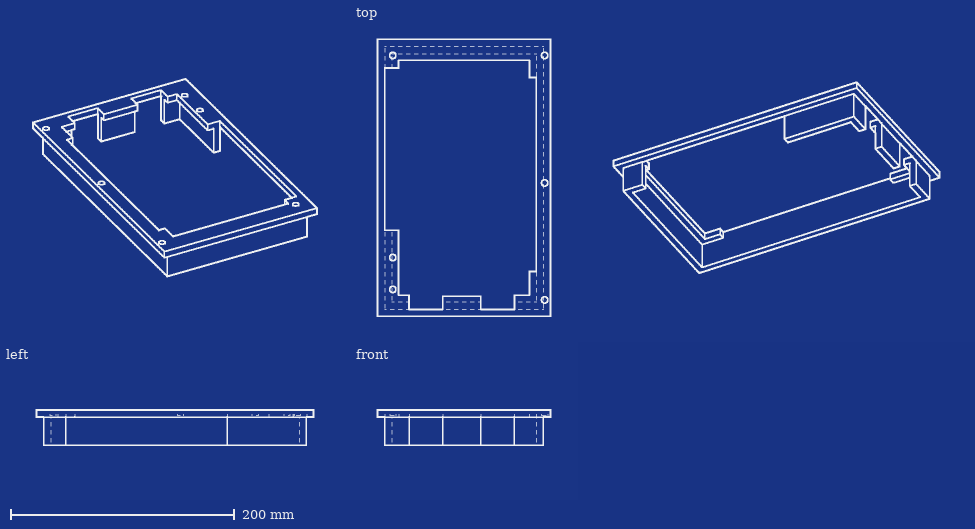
import cadquery as cq

width = 154.8
length = 247.6
height = 31.7
plate_thickness = 6.5

wall_inset = 6.5
wall_thickness = 6.5

window_left = -58.5
window_right = 58.5
window_bottom = -105.0
window_top = 104.8
left_recess_bottom = -46.8
left_recess_top = 97.8
right_recess_bottom = -83.7
right_recess_top = 89.5
left_recess_edge = -70.5
right_recess_edge = width / 2 - wall_inset - wall_thickness

notch_ranges = ((-49.0, -19.0), (15.0, 45.0))
notch_front = -length / 2 + 6.2
tongue_back = -105.7

hole_diameter = 5.7
hole_depth = 5.0
left_hole_x = -63.6
right_hole_x = 72.0
left_hole_ys = (-99.8, -71.3, 109.2)
right_hole_ys = (-109.2, -4.7, 109.2)

wall_height = height - plate_thickness


def block(x_min, x_max, y_min, y_max, z_min, z_max):
    """Box given by its limits along each axis."""
    size = (x_max - x_min, y_max - y_min, z_max - z_min)
    return cq.Workplane("XY").box(*size, centered=False).translate((x_min, y_min, z_min))


def make_plate():
    """Top plate with its stepped opening."""
    plate = block(-width / 2, width / 2, -length / 2, length / 2, wall_height, height)
    openings = (
        (window_left, window_right, window_bottom, window_top),
        (left_recess_edge, 0, left_recess_bottom, left_recess_top),
        (0, right_recess_edge, right_recess_bottom, right_recess_top),
    )
    for limits in openings:
        plate = plate.cut(block(*limits, wall_height, height))
    return plate


def make_wall():
    """Perimeter wall with a gap along the left recess."""
    x_outer = width / 2 - wall_inset
    y_outer = length / 2 - wall_inset
    x_inner = x_outer - wall_thickness
    y_inner = y_outer - wall_thickness
    wall = block(-x_outer, x_outer, -y_outer, y_outer, 0, wall_height)
    wall = wall.cut(block(-x_inner, x_inner, -y_inner, y_inner, 0, wall_height))
    wall = wall.cut(block(-x_outer, 0, left_recess_bottom, left_recess_top, 0, wall_height))
    return wall


def cut_front_notches(body):
    """Open the notches through the full height, then trim the tongue between them."""
    for x_min, x_max in notch_ranges:
        body = body.cut(block(x_min, x_max, notch_front, window_bottom, wall_height, height))
        body = body.cut(block(x_min, x_max, -length / 2, window_bottom, 0, wall_height))
    tongue_left = notch_ranges[0][1]
    tongue_right = notch_ranges[1][0]
    return body.cut(block(tongue_left, tongue_right, tongue_back, window_bottom, wall_height, height))


def cut_holes(body):
    """Blind holes sunk into the top face."""
    centers = [(left_hole_x, y) for y in left_hole_ys]
    centers += [(right_hole_x, y) for y in right_hole_ys]
    holes = (
        cq.Workplane("XY")
        .workplane(offset=height - hole_depth)
        .pushPoints(centers)
        .circle(hole_diameter / 2)
        .extrude(hole_depth)
    )
    return body.cut(holes)


frame = make_plate().union(make_wall())
result = cut_holes(cut_front_notches(frame))